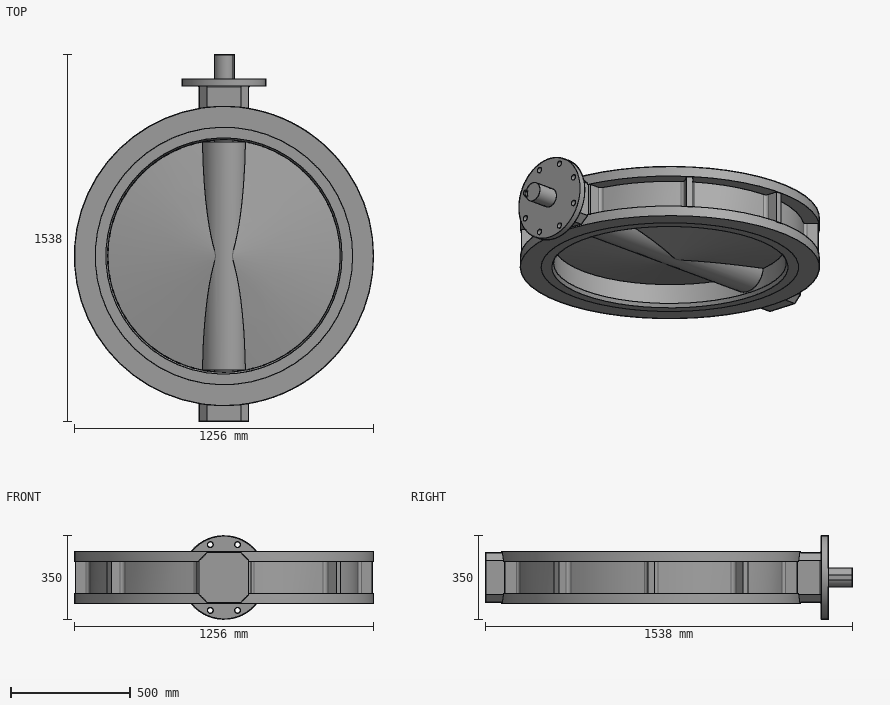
import cadquery as cq
import math


body_radius = 628.0
body_height = 220.0
half_height = body_height / 2
ring_thickness = 43.0
barrel_radius = 563.0
channel_height = body_height - 2 * ring_thickness

rib_thickness = 28.0
rib_outer_radius = 623.0
rib_fillet = 15.0
rib_offset_angles = (-39.5, 0, 39.5)
root_block_width = 228.0

liner_outer_radius = 540.0
liner_bore_radius = 488.0
liner_lead_width = 8.0
liner_lead_depth = 17.0

neck_width = 208.0
neck_corner = 32.0
bottom_neck_end = -694.0
flat_width = neck_width - 2 * neck_corner

flange_radius = 175.0
flange_thickness = 30.0
flange_start = 712.0
flange_end = flange_start + flange_thickness
flange_edge_chamfer = 2.0
flange_fillet = 6.0
bolt_circle_radius = 149.0
bolt_hole_diameter = 23.0
bolt_count = 8

disc_edge_half_thickness = 9.0
disc_apex_height = 89.0
hub_radius = 90.0
hub_half_length = 478.0
shaft_radius = 40.0
shaft_end = bottom_neck_end + 1538
shaft_foot = -body_radius

key_width = 22.0
key_thickness = 14.0
key_outer_face = 45.0


def cylinder_y(radius, start, end):
    """Round bar along Y between two Y positions."""
    return cq.Workplane("XZ", origin=(0, start, 0)).circle(radius).extrude(start - end)


def neck_prism(start, end):
    """Square bar with cut corners along Y between two Y positions."""
    bar = cq.Workplane("XZ", origin=(0, start, 0)).rect(neck_width, neck_width).extrude(start - end)
    return bar.edges("|Y").chamfer(neck_corner)


def disc_of_height(radius, height):
    """Round plate centred on the origin, with its axis along Z."""
    return cq.Workplane("XY").workplane(offset=-height / 2).circle(radius).extrude(height)


def is_rib_root(edge):
    """True for an upright edge where a rib or neck root meets the barrel."""
    middle = edge.Center()
    return abs(math.hypot(middle.x, middle.y) - barrel_radius) < rib_fillet / 2


def make_ribbed_barrel():
    """Barrel with its ribs and neck roots, filleted where each meets the barrel."""
    barrel = disc_of_height(barrel_radius, channel_height)
    rib_start = liner_outer_radius
    rib_length = body_radius - rib_start
    for side in (0, 180):
        for offset in rib_offset_angles:
            rib = (
                cq.Workplane("XY")
                .box(rib_length, rib_thickness, channel_height)
                .translate((rib_start + rib_length / 2, 0, 0))
                .rotate((0, 0, 0), (0, 0, 1), side + offset)
            )
            barrel = barrel.union(rib)
    root_block = cq.Workplane("XY").box(root_block_width, 2 * body_radius, channel_height)
    barrel = barrel.union(root_block)
    rib_roots = barrel.edges("|Z").filter(is_rib_root)
    barrel = rib_roots.fillet(rib_fillet)
    return barrel.intersect(disc_of_height(rib_outer_radius, channel_height))


def make_flange():
    """Round actuator flange with a bolt circle and a small chamfer towards the neck."""
    flange = cylinder_y(flange_radius, flange_start, flange_end)
    flange = flange.faces("<Y").edges().chamfer(flange_edge_chamfer)
    for index in range(bolt_count):
        angle = math.radians(360 / bolt_count * (index + 0.5))
        hole = cylinder_y(bolt_hole_diameter / 2, flange_start, flange_end)
        hole_x = bolt_circle_radius * math.cos(angle)
        hole_z = bolt_circle_radius * math.sin(angle)
        flange = flange.cut(hole.translate((hole_x, 0, hole_z)))
    return flange


def make_flange_fillets():
    """Hollow fillet strips between the flange and the four flats of its neck."""
    flat = neck_width / 2
    arc_offset = flange_fillet * (1 - math.sqrt(0.5))
    strip = (
        cq.Workplane("YZ", origin=(-flat_width / 2, 0, 0))
        .moveTo(flange_start - flange_fillet, flat)
        .lineTo(flange_start, flat)
        .lineTo(flange_start, flat + flange_fillet)
        .threePointArc(
            (flange_start - arc_offset, flat + arc_offset),
            (flange_start - flange_fillet, flat),
        )
        .close()
        .extrude(flat_width)
    )
    return [strip.rotate((0, 0, 0), (0, 1, 0), turn) for turn in (0, 90, 180, 270)]


def make_housing():
    """Two rings on a ribbed barrel, with two necks on the shaft axis and the actuator flange."""
    housing = make_ribbed_barrel()
    ring_middle = half_height - ring_thickness / 2
    for ring_z in (-ring_middle, ring_middle):
        housing = housing.union(disc_of_height(body_radius, ring_thickness).translate((0, 0, ring_z)))
    housing = housing.union(neck_prism(bottom_neck_end, flange_start))
    housing = housing.union(make_flange())
    for strip in make_flange_fillets():
        housing = housing.union(strip)
    housing = housing.cut(disc_of_height(liner_outer_radius, body_height))
    return housing.cut(cylinder_y(shaft_radius, shaft_foot, shaft_end))


def make_liner():
    """Sleeve in the housing with a sloped lead-in at both ends of its bore."""
    lead_radius = liner_bore_radius + liner_lead_width
    lead_z = half_height - liner_lead_depth
    liner = (
        cq.Workplane("XZ")
        .moveTo(liner_outer_radius, -half_height)
        .lineTo(lead_radius, -half_height)
        .lineTo(liner_bore_radius, -lead_z)
        .lineTo(liner_bore_radius, lead_z)
        .lineTo(lead_radius, half_height)
        .lineTo(liner_outer_radius, half_height)
        .close()
        .revolve(360, (0, 0, 0), (0, 1, 0))
    )
    return liner.cut(cylinder_y(shaft_radius, shaft_foot, shaft_end))


def make_disc():
    """Disc with conical faces and a round hub, bored for the shaft."""
    plate = (
        cq.Workplane("XZ")
        .moveTo(0, -disc_apex_height)
        .lineTo(liner_bore_radius, -disc_edge_half_thickness)
        .lineTo(liner_bore_radius, disc_edge_half_thickness)
        .lineTo(0, disc_apex_height)
        .close()
        .revolve(360, (0, 0, 0), (0, 1, 0))
    )
    hub = cylinder_y(hub_radius, -hub_half_length, hub_half_length)
    return plate.union(hub).cut(cylinder_y(shaft_radius, shaft_foot, shaft_end))


def make_shaft():
    """Round shaft from the bottom neck to beyond the flange, with a key seat in its end."""
    return cylinder_y(shaft_radius, shaft_foot, shaft_end).cut(make_key())


def make_key():
    """Flat key along the exposed end of the shaft."""
    key_length = shaft_end - flange_end
    key_x = key_outer_face - key_thickness / 2
    key_y = (flange_end + shaft_end) / 2
    return cq.Workplane("XY").box(key_thickness, key_length, key_width).translate((key_x, key_y, 0))


housing = make_housing()
liner = make_liner()
disc = make_disc()
shaft = make_shaft()
key = make_key()

result = cq.Compound.makeCompound(
    [housing.val(), liner.val(), disc.val(), shaft.val(), key.val()]
)